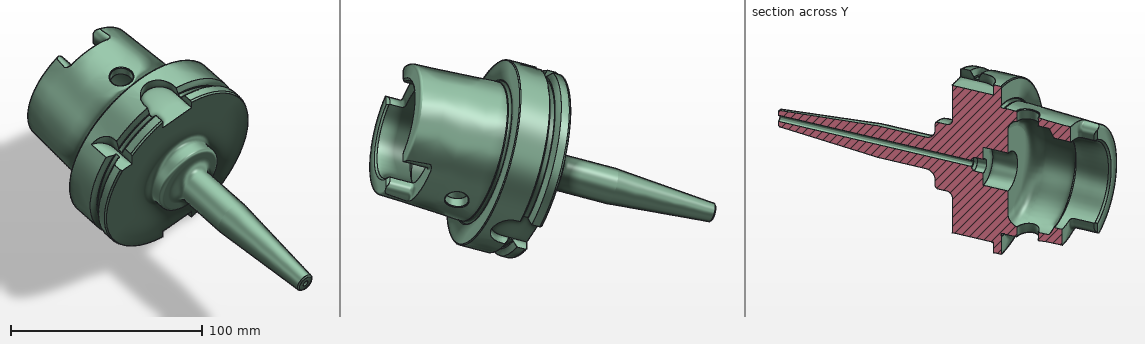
import cadquery as cq
import math


overall_length = 180

shank_length = 50.0
taper_base_x = -2.0
taper_base_radius = 75.5 / 2
taper_half_rate = 0.05
taper_front_radius = taper_base_radius - taper_half_rate * (shank_length + taper_base_x)
shank_end_fillet = 1.8

relief_start_x = -1.3
relief_radius = 37.5
relief_depth = 0.5
relief_fillet = 1.0
relief_rim_radius = 39.0

flange_radius = 100.0 / 2
flange_length = 29.0
flange_rear_chamfer = 0.5
flange_front_chamfer_length = 1.0
flange_front_chamfer_drop = 0.5
groove_bottom_radius = 45.9
groove_start, groove_end = 16.7, 23.4
groove_flat_start, groove_flat_end = 18.4, 21.2
groove_lip_radius = 46.8

boss_radius = 40.0 / 2
boss_end = 39.0
boss_root_fillet = 3.0
boss_edge_fillet = 2.0
neck_radius = 19.0 / 2
neck_root_fillet = 5.0
neck_end = 72.5
nose_end = overall_length - shank_length
nose_radius = 10.0 / 2
nose_chamfer = 0.7

bore_radius = 53.0 / 2
bore_chamfer = 1.0
bore_depth = 19.8
undercut_radius = 63 / 2
undercut_slope = math.radians(60)
cavity_floor_x = -3.6
cavity_floor_radius = 24.7
tube_bore_radius = 22.3 / 2
tube_bore_depth = 14.4
coolant_bore_radius = 8.0 / 2
coolant_bore_depth = 5.4
coolant_cone_radius = 5.0 / 2
through_radius = 3.2 / 2

slot_width = 20.0
upper_slot_depth = 9.9
lower_slot_depth = 15.0
slot_floor_fillet = 2.0
slot_lip_radius = 5.0
slot_lip_height = 27.0
slot_mouth_chamfer = 1.5

cross_hole_radius = 12.0 / 2
cross_hole_x = -15.0
cross_hole_chamfer = 0.45

notch_width = 20.0
notch_centre_x = 15.0
notch_floor = 44.0
corner_notch_offset = 31.5


def revolve_about_x(outline):
    return outline.close().revolve(360, (0, 0, 0), (1, 0, 0))


def outer_body():
    """Solid of revolution bounded by the outer surfaces."""
    outline = (
        cq.Workplane("XY")
        .moveTo(-shank_length, 0)
        .lineTo(-shank_length, taper_front_radius)
        .lineTo(taper_base_x, taper_base_radius)
        .lineTo(relief_start_x, relief_radius)
        .lineTo(relief_depth - relief_fillet, relief_radius)
        .radiusArc((relief_depth, relief_radius + relief_fillet), -relief_fillet)
        .lineTo(0, relief_rim_radius)
        .lineTo(0, flange_radius - flange_rear_chamfer)
        .lineTo(flange_rear_chamfer, flange_radius)
        .lineTo(groove_start, flange_radius)
        .lineTo(groove_flat_start, groove_lip_radius)
        .lineTo(groove_flat_start, groove_bottom_radius)
        .lineTo(groove_flat_end, groove_bottom_radius)
        .lineTo(groove_flat_end, groove_lip_radius)
        .lineTo(groove_end, flange_radius)
        .lineTo(flange_length - flange_front_chamfer_length, flange_radius)
        .lineTo(flange_length, flange_radius - flange_front_chamfer_drop)
        .lineTo(flange_length, boss_radius + boss_root_fillet)
        .radiusArc((flange_length + boss_root_fillet, boss_radius), -boss_root_fillet)
        .lineTo(boss_end - boss_edge_fillet, boss_radius)
        .radiusArc((boss_end, boss_radius - boss_edge_fillet), boss_edge_fillet)
        .lineTo(boss_end, neck_radius + neck_root_fillet)
        .radiusArc((boss_end + neck_root_fillet, neck_radius), -neck_root_fillet)
        .lineTo(neck_end, neck_radius)
        .lineTo(nose_end - nose_chamfer, nose_radius)
        .lineTo(nose_end, nose_radius - nose_chamfer)
        .lineTo(nose_end, 0)
    )
    return revolve_about_x(outline).faces("<X").edges().fillet(shank_end_fillet)


def cavity():
    """Clamping cavity and the stepped bore that runs on to the tip."""
    mouth_x = -shank_length
    undercut_start = mouth_x + bore_depth
    undercut_full = undercut_start + (undercut_radius - bore_radius) / math.tan(undercut_slope)
    floor_fillet = undercut_radius - cavity_floor_radius
    tube_floor_x = cavity_floor_x + tube_bore_depth
    cone_start = tube_floor_x + coolant_bore_depth
    cone_end = cone_start + coolant_bore_radius - coolant_cone_radius
    outline = (
        cq.Workplane("XY")
        .moveTo(mouth_x, 0)
        .lineTo(mouth_x, bore_radius + bore_chamfer)
        .lineTo(mouth_x + bore_chamfer, bore_radius)
        .lineTo(undercut_start, bore_radius)
        .lineTo(undercut_full, undercut_radius)
        .lineTo(cavity_floor_x - floor_fillet, undercut_radius)
        .radiusArc((cavity_floor_x, cavity_floor_radius), floor_fillet)
        .lineTo(cavity_floor_x, tube_bore_radius)
        .lineTo(tube_floor_x, tube_bore_radius)
        .lineTo(tube_floor_x, coolant_bore_radius)
        .lineTo(cone_start, coolant_bore_radius)
        .lineTo(cone_end, coolant_cone_radius)
        .lineTo(cone_end, through_radius)
        .lineTo(nose_end, through_radius)
        .lineTo(nose_end, 0)
    )
    return revolve_about_x(outline)


def drive_slot(depth):
    """Slot open toward +Z whose walls flare outward in a quarter round."""
    half = slot_width / 2
    lip_y = half + slot_lip_radius
    lip_z = slot_lip_height + slot_lip_radius
    reach = flange_radius
    slot = (
        cq.Workplane("YZ", origin=(-shank_length, 0, 0))
        .moveTo(-half, 0)
        .lineTo(-half, slot_lip_height)
        .radiusArc((-lip_y, lip_z), -slot_lip_radius)
        .lineTo(-reach, lip_z)
        .lineTo(-reach, reach)
        .lineTo(reach, reach)
        .lineTo(reach, lip_z)
        .lineTo(lip_y, lip_z)
        .radiusArc((half, slot_lip_height), -slot_lip_radius)
        .lineTo(half, 0)
        .close()
        .extrude(depth)
        .faces(">X")
        .edges()
        .fillet(slot_floor_fillet)
    )
    mouth = (
        cq.Workplane("XY")
        .moveTo(-shank_length, half + slot_mouth_chamfer)
        .lineTo(-shank_length + slot_mouth_chamfer, half)
        .lineTo(-shank_length + slot_mouth_chamfer, -half)
        .lineTo(-shank_length, -half - slot_mouth_chamfer)
        .close()
        .extrude(lip_z)
    )
    return slot.union(mouth)


def rim_notch(centre_y, floor_z):
    """Round-ended notch with a flat floor, open toward +Z and +X."""
    length = flange_length - notch_centre_x
    height = flange_radius - floor_z
    floor_centre = cq.Workplane("XY", origin=(notch_centre_x, centre_y, floor_z))
    round_end = floor_centre.circle(notch_width / 2).extrude(height)
    straight = floor_centre.box(length, notch_width, height, centered=(False, True, False))
    return round_end.union(straight)


def half_turn(solid):
    return solid.rotate((0, 0, 0), (1, 0, 0), 180)


def add_cross_hole(solid):
    """Drill straight through the shank along Z and chamfer the rims on the taper."""
    hole = (
        cq.Workplane("XY", origin=(cross_hole_x, 0, -flange_radius))
        .circle(cross_hole_radius)
        .extrude(2 * flange_radius)
    )
    half_box = 2 * cross_hole_radius
    near, far = undercut_radius, flange_radius
    x_low, x_high = cross_hole_x - half_box, cross_hole_x + half_box
    upper_rim = cq.selectors.BoxSelector((x_low, -half_box, near), (x_high, half_box, far))
    lower_rim = cq.selectors.BoxSelector((x_low, -half_box, -far), (x_high, half_box, -near))
    return solid.cut(hole).edges(upper_rim + lower_rim).chamfer(cross_hole_chamfer)


centre_notch = rim_notch(0, notch_floor)
corner_notch = rim_notch(-corner_notch_offset - notch_width / 2, corner_notch_offset)

result = (
    add_cross_hole(outer_body().cut(cavity()))
    .cut(drive_slot(upper_slot_depth))
    .cut(half_turn(drive_slot(lower_slot_depth)))
    .cut(centre_notch)
    .cut(half_turn(centre_notch))
    .cut(corner_notch)
)